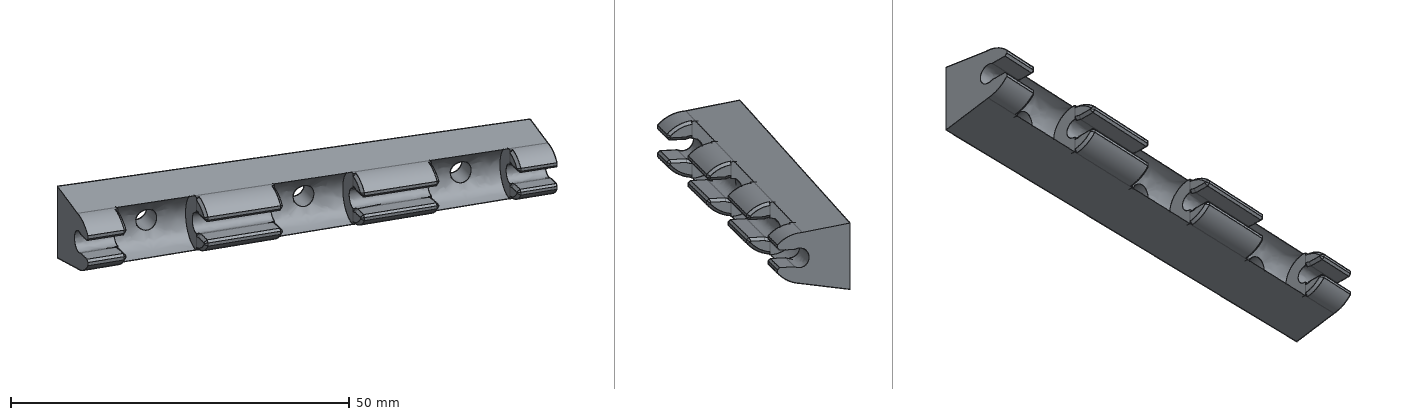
import cadquery as cq
import math

LENGTH = 75.0
DEPTH = 12.45
TOP_HEIGHT = 5.55
BOTTOM_HEIGHT = 5.9
END_SCALE = 0.883
TAPER_CENTRE_Z = 1.4

CREASE_X = 8.2
LOWER_CREASE_X = 8.6
CREASE_TOP = 4.35
CREASE_BOTTOM = 4.4
NOSE_MID_X = 10.8
NOSE_MID_TOP = 3.7
NOSE_MID_BOTTOM = 3.75
TIP_Z = 2.4
TIP_CHAMFER = 0.4

GROOVE_X = 8.7
GROOVE_RADIUS = 1.69
SLOT_HALF = 1.5
HOLLOW_RADIUS = 4.5

HOLE_DIAMETER = 3.3
GAP_PITCH = LENGTH / 3
GAP_WIDTH = GAP_PITCH / 2
KNUCKLE_CHAMFER = 0.45
GAP_CENTRES = [-GAP_PITCH, 0, GAP_PITCH]
TOLERANCE = 0.01
MARGIN = 3.75


def scale_at(y):
    """Section scale at a station along the strip."""
    return 1 + (END_SCALE - 1) * (y + LENGTH / 2) / LENGTH


def section_wire(y):
    """Closed fork-shaped section, scaled for its station."""
    scale = scale_at(y)

    def place(x, z):
        return cq.Vector(scale * x, y, TAPER_CENTRE_Z + scale * (z - TAPER_CENTRE_Z))

    def line(start, end):
        return cq.Edge.makeLine(place(*start), place(*end))

    def arc(start, middle, end):
        return cq.Edge.makeThreePointArc(place(*start), place(*middle), place(*end))

    slot_start = GROOVE_X + math.sqrt(GROOVE_RADIUS**2 - SLOT_HALF**2)
    root_top = (0, TOP_HEIGHT)
    root_bottom = (0, -BOTTOM_HEIGHT)
    crease_top = (CREASE_X, CREASE_TOP)
    crease_bottom = (LOWER_CREASE_X, -CREASE_BOTTOM)
    tip_top = (DEPTH, TIP_Z)
    tip_bottom = (DEPTH, -TIP_Z)
    lip_top = (DEPTH, SLOT_HALF + TIP_CHAMFER)
    lip_bottom = (DEPTH, -SLOT_HALF - TIP_CHAMFER)
    mouth_top = (DEPTH - TIP_CHAMFER, SLOT_HALF)
    mouth_bottom = (DEPTH - TIP_CHAMFER, -SLOT_HALF)
    slot_top = (slot_start, SLOT_HALF)
    slot_bottom = (slot_start, -SLOT_HALF)
    return cq.Wire.assembleEdges([
        line(root_bottom, root_top),
        line(root_top, crease_top),
        arc(crease_top, (NOSE_MID_X, NOSE_MID_TOP), tip_top),
        line(tip_top, lip_top),
        line(lip_top, mouth_top),
        line(mouth_top, slot_top),
        arc(slot_top, (GROOVE_X - GROOVE_RADIUS, 0), slot_bottom),
        line(slot_bottom, mouth_bottom),
        line(mouth_bottom, lip_bottom),
        line(lip_bottom, tip_bottom),
        arc(tip_bottom, (NOSE_MID_X, -NOSE_MID_BOTTOM), crease_bottom),
        line(crease_bottom, root_bottom),
    ])


def notch_wire(y):
    """Plain notch section at one station, clearing the nose outward of the groove centre."""
    wall = GROOVE_X * scale_at(y)
    outside = DEPTH + MARGIN
    return (
        cq.Workplane("XZ", origin=((wall + outside) / 2, y, 0))
        .rect(outside - wall, 2 * (BOTTOM_HEIGHT + MARGIN))
        .val()
    )


def hollow_wire(y):
    """Clearance section at one station: a round hollow about the hinge line, open outward."""
    scale = scale_at(y)

    def place(x, z):
        return (scale * x, TAPER_CENTRE_Z + scale * (z - TAPER_CENTRE_Z))

    return (
        cq.Workplane("XZ", origin=(0, y, 0))
        .moveTo(*place(CREASE_X, TOP_HEIGHT + MARGIN))
        .lineTo(*place(CREASE_X, CREASE_TOP))
        .threePointArc(place(GROOVE_X - HOLLOW_RADIUS, 0), place(LOWER_CREASE_X, -CREASE_BOTTOM))
        .lineTo(*place(LOWER_CREASE_X, -BOTTOM_HEIGHT - MARGIN))
        .lineTo(*place(DEPTH + MARGIN, -BOTTOM_HEIGHT - MARGIN))
        .lineTo(*place(DEPTH + MARGIN, TOP_HEIGHT + MARGIN))
        .close()
        .val()
    )


def gap_loft(section, centre):
    """Tapered cutter spanning one gap."""
    start = centre - GAP_WIDTH / 2
    end = centre + GAP_WIDTH / 2
    return cq.Workplane(cq.Solid.makeLoft([section(start), section(end)], True))


def nose_edges(body):
    """Curved nose edges on the knuckle faces that border the gaps."""
    return body.edges("%CIRCLE or %ELLIPSE or %BSPLINE").filter(
        lambda edge: edge.BoundingBox().ylen < TOLERANCE
        and abs(edge.Center().y) < LENGTH / 2 - TOLERANCE
        and edge.BoundingBox().xmin > CREASE_X * END_SCALE - TOLERANCE
    )


body = cq.Workplane(cq.Solid.makeLoft([section_wire(-LENGTH / 2), section_wire(LENGTH / 2)], True))
for centre in GAP_CENTRES:
    body = body.cut(gap_loft(notch_wire, centre))
body = nose_edges(body).chamfer(KNUCKLE_CHAMFER)

for centre in GAP_CENTRES:
    body = body.cut(gap_loft(hollow_wire, centre), clean=False)

for centre in GAP_CENTRES:
    hole = cq.Workplane("YZ").center(centre, 0).circle(HOLE_DIAMETER / 2).extrude(DEPTH)
    body = body.cut(hole, clean=False)

result = body